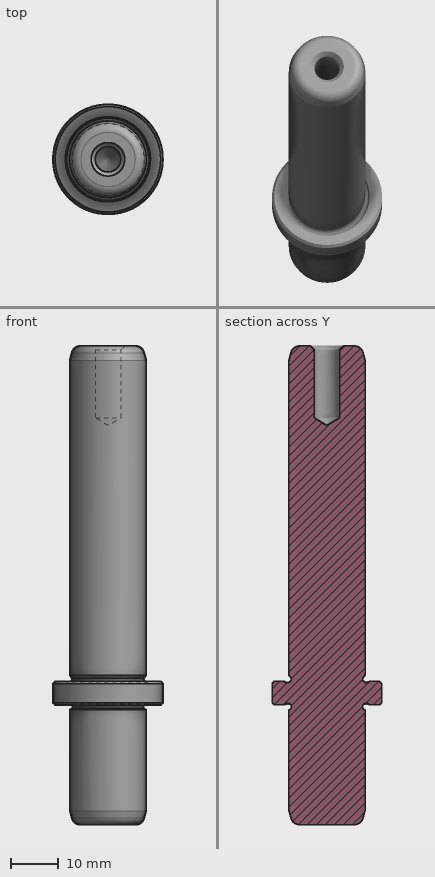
import cadquery as cq
import math


LENGTH = 100.0
SHAFT_RADIUS = 8.0

FLANGE_RADIUS = 11.5
FLANGE_BOTTOM = 25.0
FLANGE_THICKNESS = 5.0
FLANGE_TOP = FLANGE_BOTTOM + FLANGE_THICKNESS
FLANGE_CHAMFER = 0.5

TAPER_LENGTH = 3.0
TAPER_ANGLE = 15.0
END_ROUNDING = 2.0
END_FACE_RADIUS = SHAFT_RADIUS - TAPER_LENGTH * math.tan(math.radians(TAPER_ANGLE))

NECK_RADIUS = 7.5
SHANK_RELIEF_WIDTH = 1.0
SHANK_RELIEF_RUNOUT = 0.3
SHANK_RELIEF_FILLET = 0.5
GUIDE_RELIEF_WIDTH = 1.25
GUIDE_RELIEF_RUNOUT = 0.65
GUIDE_RELIEF_FILLET = 0.8
FACE_RELIEF_DEPTH = 0.3
FACE_RELIEF_RADIUS = 8.9
FACE_RELIEF_RUNOUT = 0.3

HOLE_RADIUS = 2.65
COUNTERSINK_RADIUS = 3.5
COUNTERSINK_DEPTH = COUNTERSINK_RADIUS - HOLE_RADIUS
HOLE_DEPTH = 15.0
DRILL_POINT_ANGLE = 118.0


def revolve_about_axis(outline):
    """Turn a closed half outline in the XZ plane into a solid about the pin axis."""
    return outline.close().revolve(360, (0, 0), (0, 1))


def make_body():
    """Plain pin with its flange, tapered and rounded at both ends."""
    outline = cq.Workplane("XZ").polyline([
        (0, 0),
        (END_FACE_RADIUS, 0),
        (SHAFT_RADIUS, TAPER_LENGTH),
        (SHAFT_RADIUS, FLANGE_BOTTOM),
        (FLANGE_RADIUS - FLANGE_CHAMFER, FLANGE_BOTTOM),
        (FLANGE_RADIUS, FLANGE_BOTTOM + FLANGE_CHAMFER),
        (FLANGE_RADIUS, FLANGE_TOP - FLANGE_CHAMFER),
        (FLANGE_RADIUS - FLANGE_CHAMFER, FLANGE_TOP),
        (SHAFT_RADIUS, FLANGE_TOP),
        (SHAFT_RADIUS, LENGTH - TAPER_LENGTH),
        (END_FACE_RADIUS, LENGTH),
        (0, LENGTH),
    ])
    return revolve_about_axis(outline).faces("<Z or >Z").edges().fillet(END_ROUNDING)


def make_relief(face_height, away, width, runout, fillet):
    """Ring to cut at a flange face; away is +1 or -1, the Z direction leaving the flange."""
    floor_height = face_height - away * FACE_RELIEF_DEPTH
    shaft_edge_height = face_height + away * width
    outline = (
        cq.Workplane("XZ")
        .moveTo(SHAFT_RADIUS, shaft_edge_height)
        .lineTo(NECK_RADIUS, shaft_edge_height - away * runout)
        .lineTo(NECK_RADIUS, floor_height + away * fillet)
        .radiusArc((NECK_RADIUS + fillet, floor_height), -away * fillet)
        .lineTo(FACE_RELIEF_RADIUS - FACE_RELIEF_RUNOUT, floor_height)
        .lineTo(FACE_RELIEF_RADIUS, face_height)
        .lineTo(SHAFT_RADIUS, face_height)
    )
    return revolve_about_axis(outline)


def make_centre_hole():
    """Countersunk drilled hole with a conical bottom, as a solid to be cut away."""
    hole_bottom = LENGTH - HOLE_DEPTH
    point_height = HOLE_RADIUS / math.tan(math.radians(DRILL_POINT_ANGLE / 2))
    outline = cq.Workplane("XZ").polyline([
        (0, LENGTH),
        (COUNTERSINK_RADIUS, LENGTH),
        (HOLE_RADIUS, LENGTH - COUNTERSINK_DEPTH),
        (HOLE_RADIUS, hole_bottom),
        (0, hole_bottom - point_height),
    ])
    return revolve_about_axis(outline)


shank_relief = make_relief(
    FLANGE_BOTTOM, -1, SHANK_RELIEF_WIDTH, SHANK_RELIEF_RUNOUT, SHANK_RELIEF_FILLET
)
guide_relief = make_relief(
    FLANGE_TOP, 1, GUIDE_RELIEF_WIDTH, GUIDE_RELIEF_RUNOUT, GUIDE_RELIEF_FILLET
)
result = make_body().cut(shank_relief).cut(guide_relief).cut(make_centre_hole())